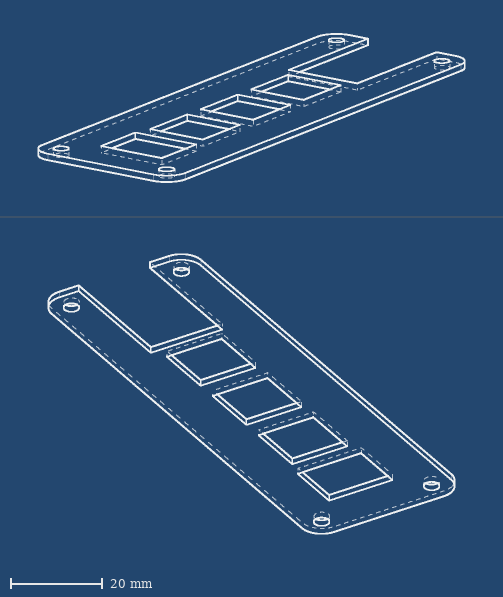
import cadquery as cq

width = 38.2
length = 114.1
thickness = 1.5
corner_radius = 5.0

hole_diameter = 3.4
hole_spacing_x = width - 2 * corner_radius
hole_spacing_y = length - 2 * corner_radius

slot_width = 18.3
slot_depth = 30.0

square_size = 14.0
square_count = 3
square_pitch = 19.0
middle_square_y = -2.3

wide_window_width = 16.2
wide_window_length = 13.0
wide_window_y = -38.9


def make_plate():
    """Flat plate with rounded vertical corners."""
    plate = cq.Workplane("XY").rect(width, length).extrude(thickness)
    return plate.edges("|Z").fillet(corner_radius)


def make_cutter(size_x, size_y, center_y):
    """Rectangular through-cutter centred on the plate's long axis."""
    return cq.Workplane("XY").center(0, center_y).rect(size_x, size_y).extrude(thickness)


def make_hole_pins():
    """Four pins that cut the mounting holes."""
    return (
        cq.Workplane("XY")
        .rect(hole_spacing_x, hole_spacing_y, forConstruction=True)
        .vertices()
        .circle(hole_diameter / 2)
        .extrude(thickness)
    )


result = make_plate().cut(make_hole_pins())
result = result.cut(make_cutter(slot_width, slot_depth, (length - slot_depth) / 2))

for index in range(square_count):
    steps_from_middle = index - (square_count - 1) / 2
    square_y = middle_square_y + steps_from_middle * square_pitch
    result = result.cut(make_cutter(square_size, square_size, square_y))

result = result.cut(make_cutter(wide_window_width, wide_window_length, wide_window_y))